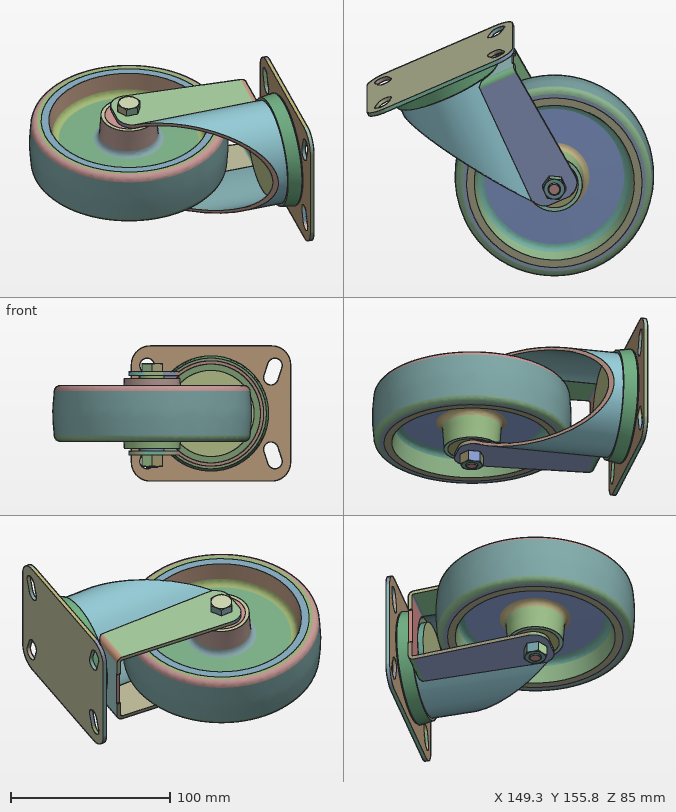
import cadquery as cq
import math


wheel_radius = 62.3
wheel_half_width = 17.6
crown_edge_drop = 1.4
tread_corner_radius = 4.0
core_radius = 55.0
rim_radius = 50.2
rim_root_radius = 47.4
rim_fillet = 4.2
disc_half_thickness_at_hub = 3.7
disc_half_thickness_at_rim = 3.1
hub_half_length = 22.0
hub_radius = 17.5
hub_root_radius = 18.7
hub_fillet = 3.7

swivel_x = 37.0
plate_top = 93.5
plate_length = 100.0
plate_width = 85.0
plate_thickness = 2.5
plate_corner_radius = 12.0
slot_width = 9.0
slot_outer_end = (40.0, 30.0)
slot_inner_end = (37.5, 22.5)
neck_radius = 35.5
neck_height = 0.8

sheet = 2.5
fork_half_width = 26.2
web_top = 80.4
bend_radius = 3.9
web_front_x = -8.0
web_notch_width = 25.0
web_notch_depth = 1.0
leg_front_x = -15.5
leg_bottom = -10.0
leg_corner_radius = 10.0
collar_top_radius = 36.2
collar_bottom_radius = 34.8
collar_bottom = 81.5
tube_radius = 66.0 / 2
tube_bore_radius = 62.0 / 2
race_radius = 54.0 / 2
race_thickness = 2.5
bore_recess_depth = 1.2
skirt_end_y = 75.6
skirt_tip_y = -3.1

sleeve_diameter = 30.0
spacer_diameter = 15.0
bolt_diameter = 8.0
bolt_end_diameter = 6.7
bolt_end_length = 0.8
hex_across_flats = 13.0
head_height = 5.1
nut_height = 7.0
hex_corner_chamfer = 0.5

plate_bottom = plate_top - plate_thickness
collar_top = plate_bottom - neck_height
web_bottom = web_top - sheet
leg_inside = fork_half_width - sheet
leg_back_x = swivel_x - math.sqrt(tube_radius ** 2 - fork_half_width ** 2)
tube_back_x = swivel_x + tube_radius
skirt_slope = (skirt_end_y - skirt_tip_y) / (tube_back_x - leg_back_x)
leg_foot_x = leg_back_x - (skirt_tip_y - leg_bottom) / skirt_slope


def swivel_cylinder(radius, bottom, top):
    """Solid cylinder on the swivel axis between two Y levels."""
    disc = cq.Workplane("XZ", origin=(swivel_x, bottom, 0)).circle(radius)
    return disc.extrude(bottom - top)


def axle_cylinder(diameter, z_low, z_high):
    """Solid cylinder on the wheel axis between two Z levels."""
    return cq.Workplane("XY").workplane(offset=z_low).circle(diameter / 2).extrude(z_high - z_low)


def revolve_about_axle(profile):
    """Turn a closed profile in the XZ plane about the wheel axis."""
    return profile.revolve(360, (0, 0, 0), (0, 1, 0))


def make_plate():
    plate = (
        cq.Workplane("XZ", origin=(swivel_x, plate_top, 0))
        .rect(plate_length, plate_width)
        .extrude(plate_thickness)
        .edges("|Y")
        .fillet(plate_corner_radius)
    )
    dx = slot_outer_end[0] - slot_inner_end[0]
    dz = slot_outer_end[1] - slot_inner_end[1]
    slot_length = math.hypot(dx, dz) + slot_width
    slot_angle = math.degrees(math.atan2(dz, dx))
    mid_x = (slot_outer_end[0] + slot_inner_end[0]) / 2
    mid_z = (slot_outer_end[1] + slot_inner_end[1]) / 2
    for side_x in (-1, 1):
        for side_z in (-1, 1):
            slot = (
                cq.Workplane("XZ", origin=(swivel_x, plate_top, 0))
                .center(side_x * mid_x, side_z * mid_z)
                .slot2D(slot_length, slot_width, side_x * side_z * slot_angle)
                .extrude(plate_thickness)
            )
            plate = plate.cut(slot)
    return plate.union(swivel_cylinder(neck_radius, collar_top, plate_bottom))


def make_bracket():
    """Sheet bracket: a web with a leg bent down on each side of the wheel."""
    outer = (
        cq.Workplane("YZ", origin=(leg_front_x, 0, 0))
        .center((web_top + leg_bottom) / 2, 0)
        .rect(web_top - leg_bottom, 2 * fork_half_width)
        .extrude(swivel_x - leg_front_x)
        .edges(">Y and |X")
        .fillet(bend_radius)
    )
    inner = (
        cq.Workplane("YZ", origin=(leg_front_x, 0, 0))
        .center((web_bottom + leg_bottom) / 2, 0)
        .rect(web_bottom - leg_bottom, 2 * leg_inside)
        .extrude(swivel_x - leg_front_x)
        .edges(">Y and |X")
        .fillet(bend_radius - sheet)
    )
    side_shape = (
        cq.Workplane("XY")
        .workplane(offset=-fork_half_width)
        .polyline([
            (web_front_x, web_top),
            (leg_back_x, web_top),
            (leg_back_x, skirt_tip_y),
            (leg_foot_x, leg_bottom),
            (leg_front_x, leg_bottom),
        ])
        .close()
        .extrude(2 * fork_half_width)
        .edges("<Y and |Z")
        .fillet(leg_corner_radius)
    )
    notch = cq.Workplane("XY").box(2 * web_notch_depth, 3 * sheet, web_notch_width)
    notch = notch.translate((web_front_x, web_top, 0))
    return outer.cut(inner).intersect(side_shape).cut(notch)


def make_skirt():
    """Tube behind the legs, open below and cut off along a slanted plane."""
    tube = swivel_cylinder(tube_radius, leg_bottom, web_bottom)
    tube = tube.cut(swivel_cylinder(tube_bore_radius, leg_bottom, web_bottom))
    side_shape = (
        cq.Workplane("XY")
        .workplane(offset=-tube_radius)
        .polyline([
            (leg_back_x, web_bottom),
            (tube_back_x, web_bottom),
            (tube_back_x, skirt_end_y),
            (leg_back_x, skirt_tip_y),
        ])
        .close()
        .extrude(2 * tube_radius)
    )
    return tube.intersect(side_shape)


def make_collar():
    """Tapered bearing collar between the neck of the plate and the web."""
    return (
        cq.Workplane("XY")
        .moveTo(swivel_x, collar_top)
        .lineTo(swivel_x + collar_top_radius, collar_top)
        .lineTo(swivel_x + collar_bottom_radius, collar_bottom)
        .lineTo(swivel_x, collar_bottom)
        .close()
        .revolve(360, (swivel_x, 0, 0), (swivel_x, 1, 0))
    )


def make_fork():
    fork = make_bracket().union(make_skirt()).union(make_collar())
    fork = fork.union(swivel_cylinder(tube_radius, web_bottom, collar_bottom))
    bore_floor = web_bottom + bore_recess_depth
    fork = fork.cut(swivel_cylinder(tube_bore_radius, web_bottom, bore_floor))
    fork = fork.union(swivel_cylinder(race_radius, web_bottom - race_thickness, bore_floor))
    return fork.cut(axle_cylinder(bolt_diameter, -fork_half_width, fork_half_width))


def make_tread():
    """Ring with a crowned running face and rounded corners."""
    edge_radius = wheel_radius - crown_edge_drop
    profile = (
        cq.Workplane("XZ")
        .moveTo(core_radius, -wheel_half_width)
        .lineTo(edge_radius, -wheel_half_width)
        .threePointArc((wheel_radius, 0), (edge_radius, wheel_half_width))
        .lineTo(core_radius, wheel_half_width)
        .close()
    )
    tread = revolve_about_axle(profile)
    corners = cq.selectors.RadiusNthSelector(-1)
    return tread.faces("|Z").edges(corners).fillet(tread_corner_radius)


def side_pocket():
    """Ring-shaped pocket with a slightly conical floor between hub and rim, on the +Z side of the core."""
    profile = (
        cq.Workplane("XZ")
        .moveTo(hub_root_radius, disc_half_thickness_at_hub)
        .lineTo(rim_root_radius, disc_half_thickness_at_rim)
        .lineTo(rim_radius, wheel_half_width)
        .lineTo(rim_radius, hub_half_length)
        .lineTo(hub_radius, hub_half_length)
        .close()
    )
    pocket = revolve_about_axle(profile)
    hub_edge = pocket.faces("<Z").edges(cq.selectors.RadiusNthSelector(0))
    pocket = hub_edge.fillet(hub_fillet)
    rim_edge = pocket.faces("<Z").edges(cq.selectors.RadiusNthSelector(-1))
    return rim_edge.fillet(rim_fillet)


def make_core():
    core = axle_cylinder(2 * core_radius, -wheel_half_width, wheel_half_width)
    core = core.union(axle_cylinder(2 * hub_root_radius, -hub_half_length, hub_half_length))
    pocket = side_pocket()
    core = core.cut(pocket).cut(pocket.mirror("XY"))
    return core.cut(axle_cylinder(sleeve_diameter, -hub_half_length, hub_half_length))


def hex_block(height):
    """Hexagon standing on Z = 0 with two flats facing X and its upper corners chamfered."""
    corner_diameter = hex_across_flats / math.cos(math.pi / 6)
    prism = (
        cq.Workplane("XY")
        .polygon(6, corner_diameter)
        .extrude(height)
        .rotate((0, 0, 0), (0, 0, 1), 30)
    )
    envelope = axle_cylinder(corner_diameter, 0, height).faces(">Z").chamfer(
        hex_corner_chamfer, (corner_diameter - hex_across_flats) / 2
    )
    return prism.intersect(envelope)


def make_axle():
    """Sleeve flush with the hub, spacers up to the legs, and a bolt with head and nut."""
    bolt_end = -fork_half_width - nut_height - bolt_end_length
    shank = axle_cylinder(bolt_diameter, bolt_end, fork_half_width)
    shank = shank.faces("<Z").chamfer(bolt_end_length, (bolt_diameter - bolt_end_diameter) / 2)
    sleeve = axle_cylinder(sleeve_diameter, -hub_half_length, hub_half_length)
    spacers = axle_cylinder(spacer_diameter, -leg_inside, leg_inside)
    head = hex_block(head_height).translate((0, 0, fork_half_width))
    nut = hex_block(nut_height).mirror("XY").translate((0, 0, -fork_half_width))
    return shank.union(sleeve).union(spacers).union(head).union(nut)


plate = make_plate()
fork = make_fork()
tread = make_tread()
core = make_core()
axle = make_axle()

result = cq.Compound.makeCompound([
    plate.val(),
    fork.val(),
    tread.val(),
    core.val(),
    axle.val(),
])